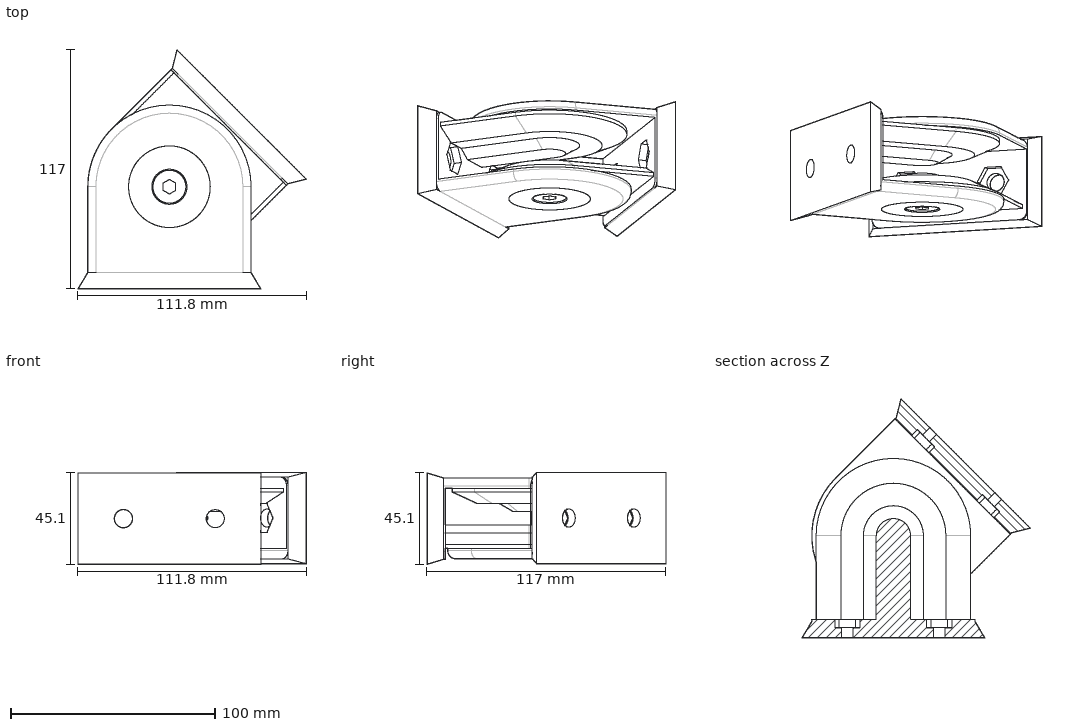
import cadquery as cq
import math


SWING_ANGLE = 45.0
HALF_OFFSET = 0.15

LOBE_RADIUS = 40.0
HALF_HEIGHT = 20.0
LOBE_THICKNESS = 5.15
LOBE_FILLET = 4.0
LOBE_INNER_Z = HALF_HEIGHT - LOBE_THICKNESS

BASE_DISTANCE = 50.0
BASE_DEPTH = 8.0
BASE_SCALE = 1.12
PAD_WIDTH = 2 * LOBE_RADIUS
PAD_HEIGHT = 2 * HALF_HEIGHT
BASE_WIDTH = BASE_SCALE * PAD_WIDTH
BASE_HEIGHT = BASE_SCALE * PAD_HEIGHT
PAD_THICKNESS = 1.0
PAD_FACE_DISTANCE = BASE_DISTANCE - BASE_DEPTH - PAD_THICKNESS

HOLE_DIAMETER = 8.8
HOLE_SPACING = 45.0
NUT_ACROSS_FLATS = 14.0
NUT_DEPTH = 4.0

INNER_LOBE_Z = 2 * HALF_OFFSET - LOBE_INNER_Z
INNER_RADIUS = 37.85
INNER_EDGE_HEIGHT = 1.85
LOWER_TIER_TOP_RADIUS = 25.7
LOWER_TIER_HEIGHT = 5.6
UPPER_TIER_BASE_RADIUS = 14.7
UPPER_TIER_TOP_RADIUS = 7.9
UPPER_TIER_HEIGHT = 4.0

BOSS_RADIUS = 20.0
BOSS_FACE_Z = INNER_LOBE_Z - LOBE_THICKNESS
SEAT_TOP_RADIUS = 8.6
SEAT_FLOOR_RADIUS = 8.05
SEAT_DEPTH = 0.5
SOCKET_ACROSS_FLATS = 6.15
SOCKET_DEPTH = 6.0
SOCKET_ANGLE = 45.0


def hexagon_diameter(across_flats):
    """Distance across the corners of a hexagon."""
    return across_flats / math.cos(math.radians(30))


def tier(z, height, bottom_radius, top_radius):
    """U-shaped tier: a round end about the pivot, run straight out to the base pad."""
    round_end = (
        cq.Workplane("XZ")
        .polyline([(0, z), (bottom_radius, z), (top_radius, z + height), (0, z + height)])
        .close()
        .revolve(360, (0, 0, 0), (0, 1, 0))
    )
    straight = (
        cq.Workplane("XZ")
        .polyline([
            (-bottom_radius, z),
            (bottom_radius, z),
            (top_radius, z + height),
            (-top_radius, z + height),
        ])
        .close()
        .extrude(PAD_FACE_DISTANCE)
    )
    return straight.union(round_end)


def make_base():
    """Tapered mounting plate with a rounded pad facing the pivot."""
    plate = (
        cq.Workplane("XZ", origin=(0, -BASE_DISTANCE, 0))
        .rect(BASE_WIDTH, BASE_HEIGHT)
        .workplane(offset=-BASE_DEPTH)
        .rect(PAD_WIDTH, PAD_HEIGHT)
        .loft(ruled=True)
    )
    pad = (
        cq.Workplane("XZ", origin=(0, -PAD_FACE_DISTANCE, 0))
        .rect(PAD_WIDTH, PAD_HEIGHT)
        .extrude(PAD_THICKNESS)
        .edges("|Y")
        .fillet(LOBE_FILLET)
    )
    return plate.union(pad)


def make_outer_lobe():
    """Flat lobe with a rounded rim and a bore for the other half's boss."""
    return (
        cq.Workplane("XY", origin=(0, 0, LOBE_INNER_Z))
        .moveTo(-LOBE_RADIUS, -PAD_FACE_DISTANCE)
        .lineTo(LOBE_RADIUS, -PAD_FACE_DISTANCE)
        .lineTo(LOBE_RADIUS, 0)
        .threePointArc((0, LOBE_RADIUS), (-LOBE_RADIUS, 0))
        .close()
        .extrude(LOBE_THICKNESS)
        .faces(">Z")
        .edges("not <Y")
        .fillet(LOBE_FILLET)
        .cut(cq.Workplane("XY").circle(BOSS_RADIUS).extrude(HALF_HEIGHT))
    )


def make_inner_lobe():
    """Tiered lobe that bears on the other half's outer lobe, with its pivot boss."""
    lower_tier_z = INNER_LOBE_Z + INNER_EDGE_HEIGHT
    upper_tier_z = lower_tier_z + LOWER_TIER_HEIGHT
    lobe = (
        tier(INNER_LOBE_Z, INNER_EDGE_HEIGHT, INNER_RADIUS, INNER_RADIUS)
        .union(tier(lower_tier_z, LOWER_TIER_HEIGHT, INNER_RADIUS, LOWER_TIER_TOP_RADIUS))
        .union(tier(upper_tier_z, UPPER_TIER_HEIGHT, UPPER_TIER_BASE_RADIUS, UPPER_TIER_TOP_RADIUS))
    )
    boss = (
        cq.Workplane("XY", origin=(0, 0, BOSS_FACE_Z))
        .circle(BOSS_RADIUS)
        .extrude(LOBE_THICKNESS)
    )
    seat = cq.Solid.makeCone(
        SEAT_TOP_RADIUS,
        SEAT_FLOOR_RADIUS,
        SEAT_DEPTH,
        pnt=cq.Vector(0, 0, BOSS_FACE_Z),
    )
    socket = (
        cq.Workplane("XY", origin=(0, 0, BOSS_FACE_Z))
        .polygon(6, hexagon_diameter(SOCKET_ACROSS_FLATS))
        .extrude(SEAT_DEPTH + SOCKET_DEPTH)
        .rotate((0, 0, 0), (0, 0, 1), SOCKET_ANGLE)
    )
    return lobe.union(boss).cut(seat).cut(socket)


def cut_mounting_holes(half):
    """Through holes with hexagonal nut traps sunk into the pad."""
    for x in (-HOLE_SPACING / 2, HOLE_SPACING / 2):
        pad_face = cq.Workplane("XZ", origin=(x, -PAD_FACE_DISTANCE, 0))
        hole = pad_face.circle(HOLE_DIAMETER / 2).extrude(BASE_DEPTH + PAD_THICKNESS)
        nut_trap = pad_face.polygon(6, hexagon_diameter(NUT_ACROSS_FLATS)).extrude(NUT_DEPTH)
        half = half.cut(hole).cut(nut_trap)
    return half


def make_bracket_half():
    """One half: base towards -Y, outer lobe on top, inner lobe below."""
    half = make_base().union(make_outer_lobe()).union(make_inner_lobe())
    return cut_mounting_holes(half).translate((0, 0, -HALF_OFFSET))


front_half = make_bracket_half()
swung_half = (
    make_bracket_half()
    .rotate((0, 0, 0), (1, 0, 0), 180)
    .rotate((0, 0, 0), (0, 0, 1), -SWING_ANGLE)
)

result = cq.Compound.makeCompound([front_half.val(), swung_half.val()])